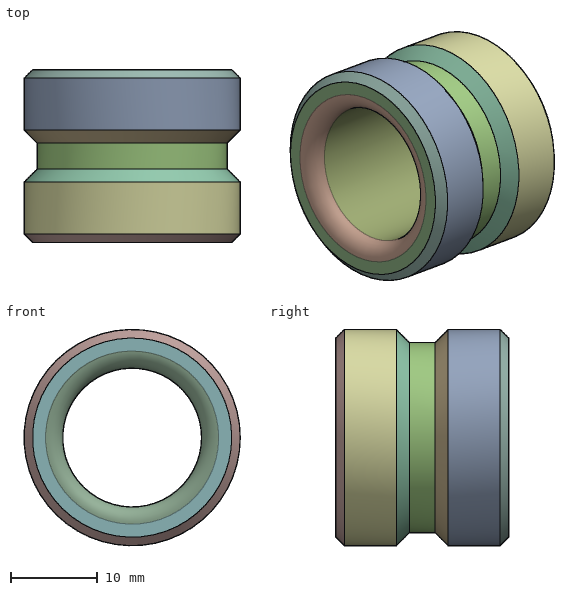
import cadquery as cq

outer_diameter = 25.0
length = 20.0
bore_diameter = 16.0
edge_chamfer = 1.0
bore_rounding = 2.0

groove_depth = 1.5
groove_floor_width = 3.0
groove_center_from_front = 10.0

outer_radius = outer_diameter / 2
front_y = -length / 2
groove_center_y = front_y + groove_center_from_front


def ring_body():
    """Plain tube with chamfered outer edges and rounded bore mouths."""
    tube = (
        cq.Workplane("XZ", origin=(0, length / 2, 0))
        .circle(outer_radius)
        .circle(bore_diameter / 2)
        .extrude(length)
    )
    outer_edges = cq.selectors.RadiusNthSelector(1)
    bore_edges = cq.selectors.RadiusNthSelector(0)
    tube = tube.faces("<Y or >Y").edges(outer_edges).chamfer(edge_chamfer)
    return tube.faces("<Y or >Y").edges(bore_edges).fillet(bore_rounding)


def groove_cutter():
    """Trapezoidal profile revolved around the Y axis."""
    floor_half = groove_floor_width / 2
    mouth_half = floor_half + groove_depth
    floor_radius = outer_radius - groove_depth
    clear_radius = outer_radius + groove_depth
    return (
        cq.Workplane("XY")
        .moveTo(floor_radius, groove_center_y - floor_half)
        .lineTo(outer_radius, groove_center_y - mouth_half)
        .lineTo(clear_radius, groove_center_y - mouth_half)
        .lineTo(clear_radius, groove_center_y + mouth_half)
        .lineTo(outer_radius, groove_center_y + mouth_half)
        .lineTo(floor_radius, groove_center_y + floor_half)
        .close()
        .revolve(360, (0, 0, 0), (0, 1, 0))
    )


result = ring_body().cut(groove_cutter())